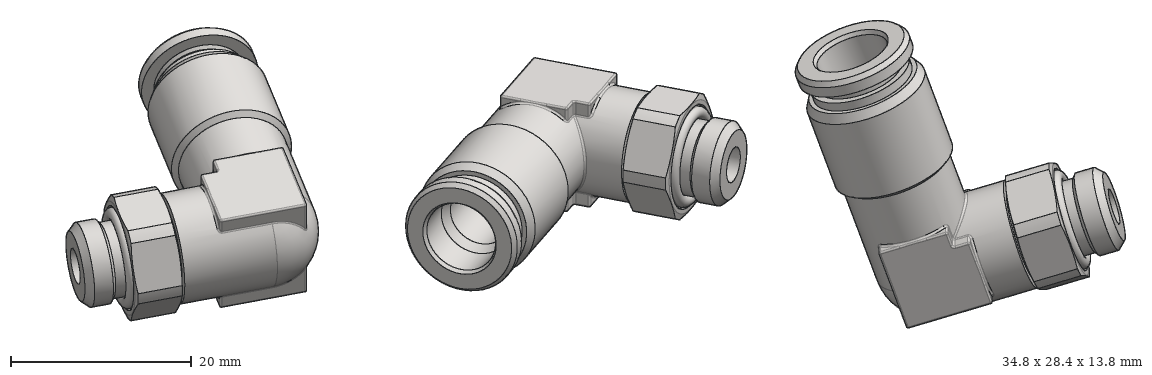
import cadquery as cq
import math


ARM_RADIUS = 12.5 / 2
LEG_END_Y = -10.65
EDGE_ROUND = 0.25
RIM_ROUND = 0.2

FACE_X = -27.685
COLLET_RADIUS = 6.68
COLLET_CHAMFER_LENGTH = 0.55
COLLET_CHAMFER_DEPTH = 0.45
COLLET_FLANGE_END = 1.8
COLLET_NECK_RADIUS = 4.95
COLLET_NECK_BEVEL = 0.35
COLLET_NECK_END = 3.15
SOCKET_RING_RADIUS = 5.78
SOCKET_RING_END = 4.2
SOCKET_RADIUS = 13.8 / 2
SOCKET_BEVEL_LENGTH = 1.05
SOCKET_BEVEL_DEPTH = 0.6
SOCKET_END = 14.95
SOCKET_REAR_BEVEL_LENGTH = 0.52

BORE_RADIUS = 4.1
BORE_MOUTH_BEVEL = 0.28
BORE_MOUTH_LENGTH = 0.5
BORE_STRAIGHT_END = 4.75
BORE_TAPER_LENGTH = 1.22
BORE_INNER_RADIUS = 3.5
BORE_INNER_END_X = 2.1
DRILL_POINT_ANGLE = 118.0

PAD_SIZE = 10.02
PAD_FAR_EDGE = 4.05
PAD_TOP_Z = 6.5

STUD_BORE_RADIUS = 2.02
COLLAR_RADIUS = 5.2
HEX_START_Y = -11.0
HEX_END_Y = -16.43
HEX_ACROSS_FLATS = 13.0
HEX_CORNER_RADIUS = 7.115
HEX_FACE_RADIUS = 6.45
HEX_BEVEL_LENGTH = 0.17
SEAL_GROOVE_RADIUS = 5.9
SEAL_GROOVE_DEPTH = 0.42
SEAL_OUTER_RADIUS = 5.7
SEAL_CENTRE_Y = -16.35
STUD_NECK_RADIUS = 4.3
STUD_NECK_END_Y = -18.05
THREAD_RADIUS = 4.8
THREAD_START_Y = -18.45
THREAD_BEVEL_START_Y = -20.6
STUD_END_Y = -21.49
STUD_END_RADIUS = 3.95


def revolve_about_x(points):
    """Turn an outline of (x, radius) points about the X axis."""
    return cq.Workplane("XY").polyline(points).close().revolve(360, (0, 0, 0), (1, 0, 0))


def make_arms():
    """Two arms that meet in a mitre on the inside of the bend and a sphere on the outside."""
    tube_arm = cq.Workplane("YZ").circle(ARM_RADIUS).extrude(FACE_X + SOCKET_END)
    leg = cq.Workplane("XZ").circle(ARM_RADIUS).extrude(-LEG_END_Y)
    corner = cq.Workplane("XY").sphere(ARM_RADIUS)
    return tube_arm.union(leg).union(corner)


def make_pad_block():
    """Square block through the corner of the elbow, notched on the inside of the bend."""
    near_edge = PAD_FAR_EDGE - PAD_SIZE
    notch_edge = -PAD_FAR_EDGE
    outline = [
        (near_edge, PAD_FAR_EDGE),
        (PAD_FAR_EDGE, PAD_FAR_EDGE),
        (PAD_FAR_EDGE, near_edge),
        (notch_edge, near_edge),
        (notch_edge, notch_edge),
        (near_edge, notch_edge),
    ]
    return cq.Workplane("XY").polyline(outline).close().extrude(PAD_TOP_Z, both=True)


def round_edges(shell):
    """Round the pad corners, the pad roots and the crease between the arms, then the pad rims."""
    reach = 2 * ARM_RADIUS
    root_low = PAD_TOP_Z / 4
    root_high = PAD_TOP_Z - RIM_ROUND
    upper_pad = cq.selectors.BoxSelector((-reach, -reach, root_low), (reach, reach, root_high))
    lower_pad = cq.selectors.BoxSelector((-reach, -reach, -root_high), (reach, reach, -root_low))
    crease = cq.selectors.BoxSelector(
        (-reach, -reach, -root_low), (-PAD_FAR_EDGE, -PAD_FAR_EDGE, root_low)
    )
    rounded = shell.edges(upper_pad + lower_pad + crease).fillet(EDGE_ROUND)
    return rounded.faces(">Z or <Z").edges().fillet(RIM_ROUND)


def make_socket():
    """Collet, neck and sleeve around the open end of the tube arm."""
    sleeve_start = SOCKET_RING_END + SOCKET_BEVEL_LENGTH
    outline = [
        (0, 0),
        (0, COLLET_RADIUS - COLLET_CHAMFER_DEPTH),
        (COLLET_CHAMFER_LENGTH, COLLET_RADIUS),
        (COLLET_FLANGE_END, COLLET_RADIUS),
        (COLLET_FLANGE_END, COLLET_NECK_RADIUS + COLLET_NECK_BEVEL),
        (COLLET_FLANGE_END + COLLET_NECK_BEVEL, COLLET_NECK_RADIUS),
        (COLLET_NECK_END, COLLET_NECK_RADIUS),
        (COLLET_NECK_END, SOCKET_RING_RADIUS),
        (SOCKET_RING_END, SOCKET_RING_RADIUS),
        (SOCKET_RING_END, SOCKET_RADIUS - SOCKET_BEVEL_DEPTH),
        (sleeve_start, SOCKET_RADIUS),
        (SOCKET_END, SOCKET_RADIUS),
        (SOCKET_END + SOCKET_REAR_BEVEL_LENGTH, ARM_RADIUS),
        (SOCKET_END + SOCKET_REAR_BEVEL_LENGTH, 0),
    ]
    return revolve_about_x(outline).translate((FACE_X, 0, 0))


def make_tube_bore():
    """Bevelled mouth, straight entry, taper, straight run and drill point."""
    point_length = BORE_INNER_RADIUS / math.tan(math.radians(DRILL_POINT_ANGLE / 2))
    outline = [
        (FACE_X, 0),
        (FACE_X, BORE_RADIUS + BORE_MOUTH_BEVEL),
        (FACE_X + BORE_MOUTH_LENGTH, BORE_RADIUS),
        (FACE_X + BORE_STRAIGHT_END, BORE_RADIUS),
        (FACE_X + BORE_STRAIGHT_END + BORE_TAPER_LENGTH, BORE_INNER_RADIUS),
        (BORE_INNER_END_X, BORE_INNER_RADIUS),
        (BORE_INNER_END_X + point_length, 0),
    ]
    return revolve_about_x(outline)


def make_leg_bore():
    return cq.Workplane("XZ").circle(STUD_BORE_RADIUS).extrude(-LEG_END_Y)


def make_elbow():
    shell = round_edges(make_arms().union(make_pad_block()))
    return shell.union(make_socket()).cut(make_tube_bore()).cut(make_leg_bore())


def make_hex():
    """Hexagon with its corners turned off and both faces bevelled."""
    across_corners = HEX_ACROSS_FLATS / math.cos(math.radians(30))
    prism = (
        cq.Workplane("XZ", origin=(0, HEX_START_Y, 0))
        .polygon(6, across_corners)
        .extrude(HEX_START_Y - HEX_END_Y)
    )
    turned_outline = [
        (0, HEX_START_Y),
        (HEX_FACE_RADIUS, HEX_START_Y),
        (HEX_CORNER_RADIUS, HEX_START_Y - HEX_BEVEL_LENGTH),
        (HEX_CORNER_RADIUS, HEX_END_Y + HEX_BEVEL_LENGTH),
        (HEX_FACE_RADIUS, HEX_END_Y),
        (0, HEX_END_Y),
    ]
    turned = cq.Workplane("XY").polyline(turned_outline).close().revolve(360, (0, 0, 0), (0, 1, 0))
    groove = (
        cq.Workplane("XZ", origin=(0, HEX_END_Y, 0))
        .circle(SEAL_GROOVE_RADIUS)
        .extrude(-SEAL_GROOVE_DEPTH)
    )
    return prism.intersect(turned).cut(groove)


def make_stud():
    """Hexagon with a collar behind it, and a round seal and threaded end in front."""
    seal_middle_radius = (SEAL_OUTER_RADIUS + STUD_NECK_RADIUS) / 2
    seal_front_y = SEAL_CENTRE_Y - (SEAL_OUTER_RADIUS - STUD_NECK_RADIUS) / 2
    core = (
        cq.Workplane("XY")
        .moveTo(0, LEG_END_Y)
        .lineTo(COLLAR_RADIUS, LEG_END_Y)
        .lineTo(COLLAR_RADIUS, HEX_START_Y)
        .lineTo(SEAL_OUTER_RADIUS, HEX_START_Y)
        .lineTo(SEAL_OUTER_RADIUS, SEAL_CENTRE_Y)
        .threePointArc((seal_middle_radius, seal_front_y), (STUD_NECK_RADIUS, SEAL_CENTRE_Y))
        .lineTo(STUD_NECK_RADIUS, STUD_NECK_END_Y)
        .lineTo(THREAD_RADIUS, THREAD_START_Y)
        .lineTo(THREAD_RADIUS, THREAD_BEVEL_START_Y)
        .lineTo(STUD_END_RADIUS, STUD_END_Y)
        .lineTo(0, STUD_END_Y)
        .close()
        .revolve(360, (0, 0, 0), (0, 1, 0))
    )
    bore = cq.Workplane("XZ").circle(STUD_BORE_RADIUS).extrude(-STUD_END_Y)
    return make_hex().union(core).cut(bore)


elbow = make_elbow()
stud = make_stud()

result = cq.Compound.makeCompound([elbow.val(), stud.val()])